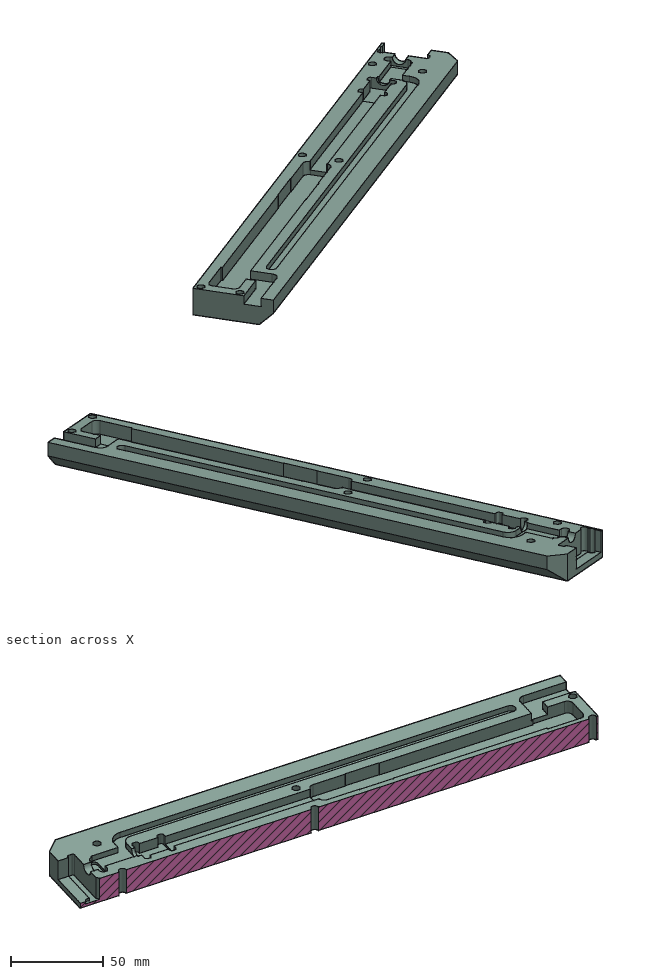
import math

import cadquery as cq

WIDTH = 46.0
LENGTH = 320.0
HEIGHT = 16.0
EDGE_CHAMFER = 8.0

TUBE_DEPTH = 8.0
STEM_DEPTH = 5.2
SPOOL_DEPTH = 6.5
CHANNEL_DEPTH = 3.5
GROOVE_DEPTH = 5.0
OUTLET_DEPTH = 5.0
NOTCH_DEPTH = 12.5
CAP_SLOT_DEPTH = 14.0

AXIS_X = 14.9
STEM_WIDTH = 10.0
TUBE_WIDTH = 15.8
TUBE_TOP_Y = 168.8
TUBE_CORNER_RADIUS = 3.3
TUBE_RELIEF_WIDTH = 16.3
TUBE_RELIEF_BOTTOM_Y = 124.5
TUBE_RELIEF_TOP_Y = 145.5
TAIL_WIDTH = 17.6
TAIL_BOTTOM_Y = 6.2
TAIL_TOP_Y = 29.5

SPOOL_BOTTOM_Y = 258.4
SPOOL_TOP_Y = 277.8
SPOOL_WAIST_WIDTH = 12.0
SPOOL_FLANGE_WIDTH = 16.4
SPOOL_FLANGE_LENGTH = 4.0
SPOOL_FLANGE_RADIUS = 1.5

CHAMBER_LEFT_X = 11.9
CHAMBER_RIGHT_X = 23.4
GROOVE_WIDTH = 15.0
GROOVE_BOTTOM_Y = 299.9
GROOVE_TOP_Y = 304.8
PASSAGE_RADIUS = 3.8

LEG_BOTTOM_Y = 279.8
LEG_TOP_Y = 285.6
RUN_LEFT_X = 29.2
RUN_RIGHT_X = 35.0
RUN_BOTTOM_Y = 35.4
BEND_INNER_RADIUS = 5.0
BEND_OUTER_RADIUS = 7.5

OUTLET_LEFT_X = 29.2
OUTLET_RIGHT_X = 39.0
OUTLET_STEP_Y = 20.0
OUTLET_TOP_Y = 30.5
OUTLET_RADIUS = 4.0

SIDE_WALL = 1.6
NOTCH_RIGHT_X = 28.2
CAP_SLOT_RIGHT_X = 30.0
CAP_SLOT_BOTTOM_Y = 309.5
CAP_SLOT_TOP_Y = 313.5
CAP_SLOT_END_RADIUS = 1.0
CAP_RELIEF_CENTRES = [(3.1, 310.3), (3.1, 314.7)]
CAP_RELIEF_RADIUS = 2.1

HOLE_DIAMETER = 4.4
HOLE_CENTRES = [(3.5, 3.3), (25.8, 3.3), (3.5, 175.0), (24.4, 175.0), (3.5, 293.8), (32.1, 293.8)]


def box(left, right, bottom, top, depth):
    """Rectangular pocket volume reaching down from the top face."""
    corner = cq.Workplane("XY", origin=(left, bottom, HEIGHT - depth))
    return corner.rect(right - left, top - bottom, centered=False).extrude(depth)


def axial_box(width, bottom, top, depth):
    """Pocket volume centred on the pocket axis."""
    return box(AXIS_X - width / 2, AXIS_X + width / 2, bottom, top, depth)


def body():
    block = cq.Workplane("XY").box(WIDTH, LENGTH, HEIGHT, centered=False)
    block = block.edges(">X and <Z").chamfer(EDGE_CHAMFER)
    back_corner = (
        cq.Workplane("XY")
        .moveTo(WIDTH, LENGTH)
        .lineTo(WIDTH - EDGE_CHAMFER, LENGTH)
        .lineTo(WIDTH, LENGTH - EDGE_CHAMFER)
        .close()
        .extrude(HEIGHT)
    )
    return block.cut(back_corner)


def tube_pocket():
    tube = axial_box(TUBE_WIDTH, TAIL_TOP_Y, TUBE_TOP_Y, TUBE_DEPTH)
    tube = tube.edges("|Z and >Y").fillet(TUBE_CORNER_RADIUS)
    tail = axial_box(TAIL_WIDTH, TAIL_BOTTOM_Y, TAIL_TOP_Y, TUBE_DEPTH)
    tail = tail.edges("|Z and <Y").fillet(TUBE_CORNER_RADIUS)
    relief = axial_box(TUBE_RELIEF_WIDTH, TUBE_RELIEF_BOTTOM_Y, TUBE_RELIEF_TOP_Y, TUBE_DEPTH)
    return tube.union(tail).union(relief)


def stem_pocket():
    return axial_box(STEM_WIDTH, TUBE_TOP_Y, SPOOL_BOTTOM_Y, STEM_DEPTH)


def spool_pocket():
    spool = axial_box(SPOOL_WAIST_WIDTH, SPOOL_BOTTOM_Y, SPOOL_TOP_Y, SPOOL_DEPTH)
    for bottom in (SPOOL_BOTTOM_Y, SPOOL_TOP_Y - SPOOL_FLANGE_LENGTH):
        flange = axial_box(SPOOL_FLANGE_WIDTH, bottom, bottom + SPOOL_FLANGE_LENGTH, SPOOL_DEPTH)
        spool = spool.union(flange.edges("|Z").fillet(SPOOL_FLANGE_RADIUS))
    return spool


def chamber():
    groove_middle_y = (GROOVE_BOTTOM_Y + GROOVE_TOP_Y) / 2
    room = box(CHAMBER_LEFT_X, CHAMBER_RIGHT_X, LEG_BOTTOM_Y, groove_middle_y, CHANNEL_DEPTH)
    groove = (
        cq.Workplane("XY", origin=(AXIS_X, groove_middle_y, HEIGHT - GROOVE_DEPTH))
        .slot2D(GROOVE_WIDTH, GROOVE_TOP_Y - GROOVE_BOTTOM_Y)
        .extrude(GROOVE_DEPTH)
    )
    return room.union(groove)


def passage(bottom, top):
    """Half-round trough along the pocket axis, centred on the top face."""
    start = cq.Workplane("XZ", origin=(AXIS_X, top, HEIGHT))
    return start.circle(PASSAGE_RADIUS).extrude(top - bottom)


def bend_middle(corner_x, corner_y, radius):
    """Middle point of the arc that rounds an upper right corner."""
    inset = radius * (1 - math.sqrt(0.5))
    return (corner_x - inset, corner_y - inset)


def return_channel():
    run_radius = (RUN_RIGHT_X - RUN_LEFT_X) / 2
    run_end_y = RUN_BOTTOM_Y + run_radius
    return (
        cq.Workplane("XY", origin=(0, 0, HEIGHT - CHANNEL_DEPTH))
        .moveTo(CHAMBER_LEFT_X, LEG_TOP_Y)
        .lineTo(RUN_RIGHT_X - BEND_OUTER_RADIUS, LEG_TOP_Y)
        .threePointArc(
            bend_middle(RUN_RIGHT_X, LEG_TOP_Y, BEND_OUTER_RADIUS),
            (RUN_RIGHT_X, LEG_TOP_Y - BEND_OUTER_RADIUS),
        )
        .lineTo(RUN_RIGHT_X, run_end_y)
        .threePointArc((RUN_LEFT_X + run_radius, RUN_BOTTOM_Y), (RUN_LEFT_X, run_end_y))
        .lineTo(RUN_LEFT_X, LEG_BOTTOM_Y - BEND_INNER_RADIUS)
        .threePointArc(
            bend_middle(RUN_LEFT_X, LEG_BOTTOM_Y, BEND_INNER_RADIUS),
            (RUN_LEFT_X - BEND_INNER_RADIUS, LEG_BOTTOM_Y),
        )
        .lineTo(CHAMBER_LEFT_X, LEG_BOTTOM_Y)
        .close()
        .extrude(CHANNEL_DEPTH)
    )


def outlet():
    cross = box(AXIS_X, OUTLET_RIGHT_X, OUTLET_STEP_Y, OUTLET_TOP_Y, OUTLET_DEPTH)
    run = box(OUTLET_LEFT_X, OUTLET_RIGHT_X, 0, OUTLET_TOP_Y, OUTLET_DEPTH)
    return cross.union(run).edges("|Z and >X and >Y").fillet(OUTLET_RADIUS)


def cap_slot():
    slot = box(SIDE_WALL, CAP_SLOT_RIGHT_X, CAP_SLOT_BOTTOM_Y, CAP_SLOT_TOP_Y, CAP_SLOT_DEPTH)
    slot = slot.edges("|Z and >X").fillet(CAP_SLOT_END_RADIUS)
    reliefs = (
        cq.Workplane("XY", origin=(0, 0, HEIGHT - CAP_SLOT_DEPTH))
        .pushPoints(CAP_RELIEF_CENTRES)
        .circle(CAP_RELIEF_RADIUS)
        .extrude(CAP_SLOT_DEPTH)
    )
    return slot.union(reliefs)


def notch():
    return box(SIDE_WALL, NOTCH_RIGHT_X, CAP_SLOT_TOP_Y, LENGTH, NOTCH_DEPTH)


def through_holes():
    return cq.Workplane("XY").pushPoints(HOLE_CENTRES).circle(HOLE_DIAMETER / 2).extrude(HEIGHT)


result = (
    body()
    .cut(tube_pocket())
    .cut(stem_pocket())
    .cut(spool_pocket())
    .cut(chamber())
    .cut(passage(GROOVE_BOTTOM_Y, CAP_SLOT_TOP_Y))
    .cut(passage(SPOOL_TOP_Y, LEG_BOTTOM_Y))
    .cut(return_channel())
    .cut(outlet())
    .cut(cap_slot())
    .cut(notch())
    .cut(through_holes())
)